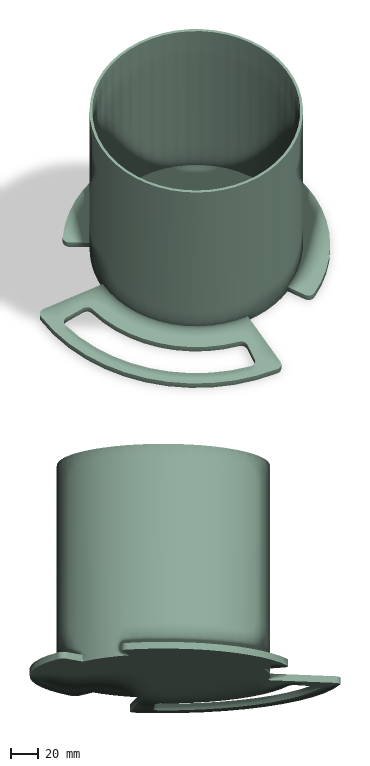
import cadquery as cq
import math

CUP_OUTER_RADIUS = 157 / 2
CUP_INNER_RADIUS = 153 / 2
CUP_HEIGHT = 158

PLATE_THICKNESS = 5
FLOOR_THICKNESS = PLATE_THICKNESS
PLATE_CORNER_RADIUS = 5
SECTOR_SPAN = 90
TAB_WIDTH = 20
TAB_START_ANGLES = (30, 150)
HANDLE_WIDTH = 55
HANDLE_START_ANGLE = 270

GRIP_RIM_WIDTH = 10
GRIP_SLOT_WIDTH = 25
GRIP_END_ANGLE = 7.5
GRIP_CORNER_RADIUS = 5

TAB_RADIUS = CUP_OUTER_RADIUS + TAB_WIDTH
HANDLE_RADIUS = CUP_OUTER_RADIUS + HANDLE_WIDTH
GRIP_OUTER_RADIUS = HANDLE_RADIUS - GRIP_RIM_WIDTH
GRIP_INNER_RADIUS = GRIP_OUTER_RADIUS - GRIP_SLOT_WIDTH
PLATE_ROOT_RADIUS = (CUP_OUTER_RADIUS + CUP_INNER_RADIUS) / 2


def polar(radius, angle):
    """Point at a radius and an angle in degrees about the cup axis."""
    return radius * math.cos(math.radians(angle)), radius * math.sin(math.radians(angle))


def ring_sector(inner_radius, outer_radius, start_angle, span):
    """Flat ring sector with radial ends, one plate thickness high."""
    middle_angle = start_angle + span / 2
    end_angle = start_angle + span
    return (
        cq.Workplane("XY")
        .moveTo(*polar(inner_radius, start_angle))
        .lineTo(*polar(outer_radius, start_angle))
        .threePointArc(polar(outer_radius, middle_angle), polar(outer_radius, end_angle))
        .lineTo(*polar(inner_radius, end_angle))
        .threePointArc(polar(inner_radius, middle_angle), polar(inner_radius, start_angle))
        .close()
        .extrude(PLATE_THICKNESS)
    )


def make_plate(outer_radius, start_angle):
    """Plate growing out of the cup wall, with its two outer corners rounded."""
    plate = ring_sector(PLATE_ROOT_RADIUS, outer_radius, start_angle, SECTOR_SPAN)
    outer_edges = []
    for edge in plate.edges("|Z").vals():
        center = edge.Center()
        if math.hypot(center.x, center.y) > CUP_OUTER_RADIUS:
            outer_edges.append(edge)
    return plate.newObject(outer_edges).fillet(PLATE_CORNER_RADIUS)


def make_cup():
    """Cylinder hollowed from the top down to the floor."""
    body = cq.Workplane("XY").circle(CUP_OUTER_RADIUS).extrude(CUP_HEIGHT)
    cavity = (
        cq.Workplane("XY", origin=(0, 0, FLOOR_THICKNESS))
        .circle(CUP_INNER_RADIUS)
        .extrude(CUP_HEIGHT - FLOOR_THICKNESS)
    )
    return body.cut(cavity)


def make_handle():
    """Wide plate with a curved grip slot through it."""
    handle = make_plate(HANDLE_RADIUS, HANDLE_START_ANGLE)
    slot = ring_sector(
        GRIP_INNER_RADIUS,
        GRIP_OUTER_RADIUS,
        HANDLE_START_ANGLE + GRIP_END_ANGLE,
        SECTOR_SPAN - 2 * GRIP_END_ANGLE,
    )
    return handle.cut(slot.edges("|Z").fillet(GRIP_CORNER_RADIUS))


result = make_cup().union(make_handle())
for tab_start_angle in TAB_START_ANGLES:
    result = result.union(make_plate(TAB_RADIUS, tab_start_angle))